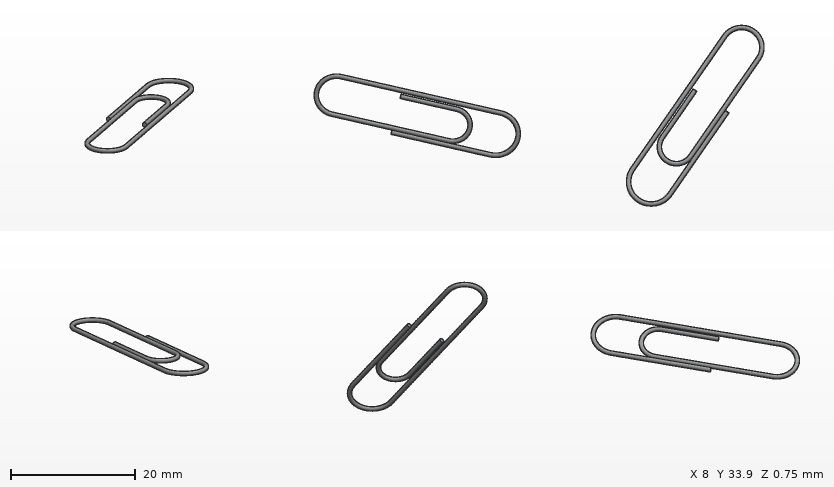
import cadquery as cq

wire_diameter = 0.75
overall_width = 8.0
overall_length = 33.88

outer_bend_radius = (overall_width - wire_diameter) / 2
lower_bend_radius = outer_bend_radius - wire_diameter / 2
inner_bend_radius = 2.75

outer_left_x = -outer_bend_radius
right_x = outer_bend_radius
inner_left_x = right_x - 2 * lower_bend_radius
inner_right_x = inner_left_x + 2 * inner_bend_radius

lower_bend_y = 0.0
outer_bend_y = overall_length - wire_diameter - outer_bend_radius - lower_bend_radius
inner_bend_y = 19.28
wire_end_y = 10.0

centreline = (
    cq.Workplane("XY")
    .moveTo(outer_left_x, wire_end_y)
    .lineTo(outer_left_x, outer_bend_y)
    .threePointArc((0, outer_bend_y + outer_bend_radius), (right_x, outer_bend_y))
    .lineTo(right_x, lower_bend_y)
    .threePointArc(
        (right_x - lower_bend_radius, lower_bend_y - lower_bend_radius),
        (inner_left_x, lower_bend_y),
    )
    .lineTo(inner_left_x, inner_bend_y)
    .threePointArc(
        (inner_left_x + inner_bend_radius, inner_bend_y + inner_bend_radius),
        (inner_right_x, inner_bend_y),
    )
    .lineTo(inner_right_x, wire_end_y)
)

result = (
    cq.Workplane("XZ", origin=(outer_left_x, wire_end_y, 0))
    .circle(wire_diameter / 2)
    .sweep(centreline)
)